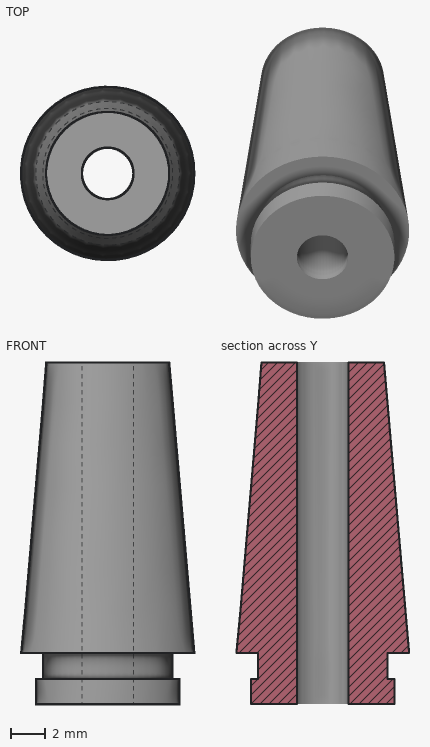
import cadquery as cq

total_height = 20.0
bore_diameter = 3.0

collar_diameter = 8.4
collar_height = 1.5
groove_diameter = 7.6
groove_height = 1.5

body_base_diameter = 10.15
body_top_diameter = 7.2
body_base_z = collar_height + groove_height

profile = (
    cq.Workplane("XZ")
    .moveTo(bore_diameter / 2, 0)
    .lineTo(collar_diameter / 2, 0)
    .lineTo(collar_diameter / 2, collar_height)
    .lineTo(groove_diameter / 2, collar_height)
    .lineTo(groove_diameter / 2, body_base_z)
    .lineTo(body_base_diameter / 2, body_base_z)
    .lineTo(body_top_diameter / 2, total_height)
    .lineTo(bore_diameter / 2, total_height)
    .close()
)

result = profile.revolve(360, (0, 0, 0), (0, 1, 0))